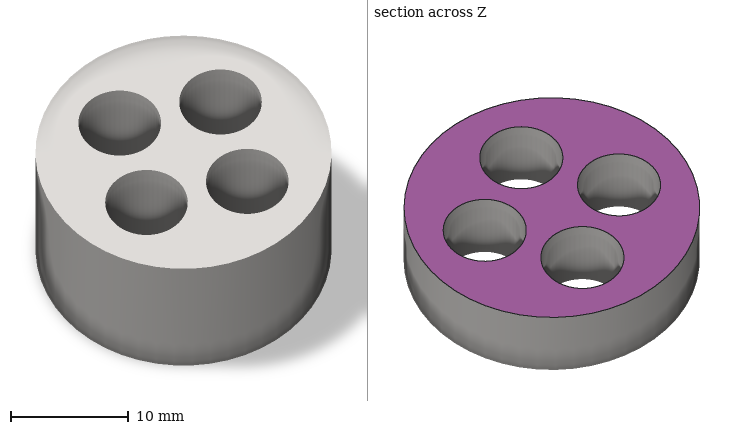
import cadquery as cq

outer_diameter = 25.1
height = 13.3
hole_diameter = 7.0
hole_circle_radius = 6.25
hole_count = 4

body = cq.Workplane("XY").circle(outer_diameter / 2).extrude(height)

result = (
    body.faces(">Z")
    .workplane()
    .polarArray(hole_circle_radius, 0, 360, hole_count)
    .hole(hole_diameter)
)